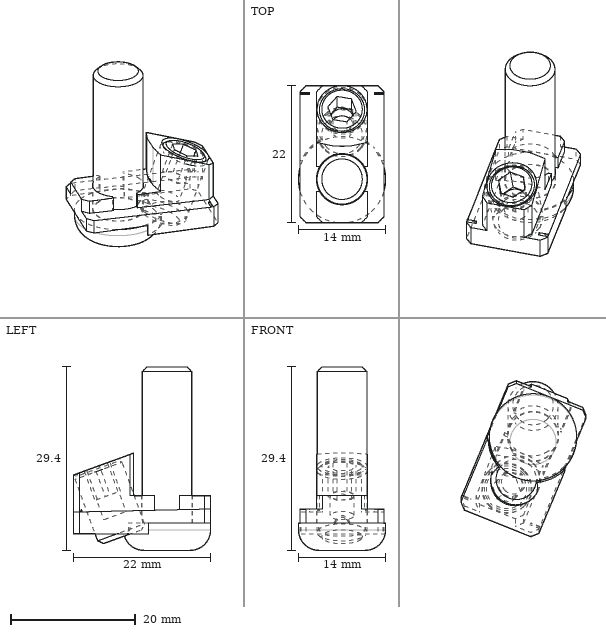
import cadquery as cq
import math


BOLT_DIAMETER = 8.0
BOLT_LENGTH = 25.0
TIP_CHAMFER = 0.75
HEAD_DIAMETER = 14.0
HEAD_HEIGHT = 4.4
HEAD_RIM_HEIGHT = 1.1
HEAD_ROUND = HEAD_HEIGHT - HEAD_RIM_HEIGHT

BASE_WIDTH = 13.5
FRONT_Y = -HEAD_DIAMETER / 2
BLOCK_LENGTH = 22.0
BACK_Y = FRONT_Y + BLOCK_LENGTH
BOTTOM_Z = -1.75
LEDGE_FRONT_Z = 2.25
LEDGE_BACK_Z = 1.75
CORNER_CHAMFER = 1.0
STEP_Y = 3.0
HEAD_CLEARANCE = 0.2
HEAD_RECESS_RADIUS = HEAD_DIAMETER / 2 + HEAD_CLEARANCE

RIB_WIDTH = 8.2
RIB_TOP_Z = 4.4
RIB_GAP_LENGTH = 4.0
BOLT_HOLE_DIAMETER = 8.2
TOWER_FRONT_Y = 5.35
TOWER_SIDE_Y = 5.9
TOWER_FLAT_WIDTH = 3.1
TOWER_BACK_Z = 7.7
TILT = 20.0

RIDGE_LENGTH = 1.55
RIDGE_Y = 13.72
RIDGE_WIDTH = 0.33
RIDGE_HEIGHT = 0.38

SCREW_DIAMETER = 8.0
SCREW_LENGTH = 12.0
SCREW_CHAMFER = 0.75
SCREW_END_DIAMETER = SCREW_DIAMETER - 2 * SCREW_CHAMFER
SCREW_Y = 11.22
COUNTERSINK_TAPER = 45.0
SOCKET_ACROSS_FLATS = 4.0
SOCKET_DEPTH = 5.0
SOCKET_TURN = -10.0
PILOT_DIAMETER = 3.8
PILOT_DEPTH = 8.4


def tower_top_z(y):
    """Height of the sloping tower top at a given Y."""
    return TOWER_BACK_Z + (BACK_Y - y) * math.tan(math.radians(TILT))


def ledge_z(y):
    """Height of the slightly falling ledge at a given Y."""
    return LEDGE_FRONT_Z + (LEDGE_BACK_Z - LEDGE_FRONT_Z) * (y - FRONT_Y) / BLOCK_LENGTH


def screw_plane():
    """Plane of the screw's top face, with its normal pointing up the tilted axis."""
    tilt = math.radians(TILT)
    return cq.Plane(
        origin=(0, SCREW_Y, tower_top_z(SCREW_Y)),
        xDir=(1, 0, 0),
        normal=(0, math.sin(tilt), math.cos(tilt)),
    )


def side_extrusion(outline, x_start, x_length):
    """Extrude a (Y, Z) outline along +X."""
    return cq.Workplane("YZ", origin=(x_start, 0, 0)).polyline(outline).close().extrude(x_length)


def screw_envelope():
    """Outer shape of the screw, chamfered at both ends."""
    cylinder = cq.Workplane(screw_plane()).circle(SCREW_DIAMETER / 2).extrude(-SCREW_LENGTH)
    return cylinder.edges("%CIRCLE").chamfer(SCREW_CHAMFER)


def make_set_screw():
    socket_diameter = SOCKET_ACROSS_FLATS / math.cos(math.pi / 6)
    socket = (
        cq.Workplane(screw_plane())
        .transformed(rotate=(0, 0, SOCKET_TURN))
        .polygon(6, socket_diameter)
        .extrude(-SOCKET_DEPTH)
    )
    pilot = cq.Workplane(screw_plane()).circle(PILOT_DIAMETER / 2).extrude(-PILOT_DEPTH)
    return screw_envelope().cut(socket).cut(pilot)


def make_bolt():
    head = (
        cq.Workplane("XY")
        .circle(HEAD_DIAMETER / 2)
        .extrude(-HEAD_HEIGHT)
        .faces("<Z")
        .edges()
        .fillet(HEAD_ROUND)
    )
    shank = (
        cq.Workplane("XY")
        .circle(BOLT_DIAMETER / 2)
        .extrude(BOLT_LENGTH)
        .faces(">Z")
        .chamfer(TIP_CHAMFER)
    )
    return head.union(shank).cut(screw_envelope())


def make_base():
    outline = [
        (FRONT_Y, BOTTOM_Z),
        (BACK_Y, BOTTOM_Z),
        (BACK_Y, LEDGE_BACK_Z),
        (FRONT_Y, LEDGE_FRONT_Z),
    ]
    base = side_extrusion(outline, -BASE_WIDTH / 2, BASE_WIDTH)
    return base.edges("|Z").chamfer(CORNER_CHAMFER)


def make_rib():
    rib_middle_y = (FRONT_Y + BACK_Y) / 2
    rib = (
        cq.Workplane("XY", origin=(0, rib_middle_y, BOTTOM_Z))
        .rect(RIB_WIDTH, BLOCK_LENGTH)
        .extrude(tower_top_z(FRONT_Y) - BOTTOM_Z)
        .edges("|Z")
        .chamfer(CORNER_CHAMFER)
    )
    above_tower = (
        cq.Workplane(screw_plane())
        .rect(3 * BLOCK_LENGTH, 3 * BLOCK_LENGTH)
        .extrude(BLOCK_LENGTH)
    )
    in_front_of_tower = (
        cq.Workplane("XY", origin=(0, 0, RIB_TOP_Z))
        .moveTo(-RIB_WIDTH / 2, FRONT_Y)
        .lineTo(-RIB_WIDTH / 2, TOWER_SIDE_Y)
        .lineTo(-TOWER_FLAT_WIDTH / 2, TOWER_FRONT_Y)
        .lineTo(TOWER_FLAT_WIDTH / 2, TOWER_FRONT_Y)
        .lineTo(RIB_WIDTH / 2, TOWER_SIDE_Y)
        .lineTo(RIB_WIDTH / 2, FRONT_Y)
        .close()
        .extrude(BLOCK_LENGTH)
    )
    half_gap = RIB_GAP_LENGTH / 2
    gap_outline = [
        (-half_gap, ledge_z(-half_gap)),
        (half_gap, ledge_z(half_gap)),
        (half_gap, RIB_TOP_Z),
        (-half_gap, RIB_TOP_Z),
    ]
    gap = side_extrusion(gap_outline, -RIB_WIDTH / 2, RIB_WIDTH)
    return rib.cut(above_tower).cut(in_front_of_tower).cut(gap)


def make_ridge(x_start):
    half_width = RIDGE_WIDTH / 2
    outline = [
        (RIDGE_Y - half_width, BOTTOM_Z),
        (RIDGE_Y + half_width, BOTTOM_Z),
        (RIDGE_Y + half_width, ledge_z(RIDGE_Y + half_width)),
        (RIDGE_Y, ledge_z(RIDGE_Y) + RIDGE_HEIGHT),
        (RIDGE_Y - half_width, ledge_z(RIDGE_Y - half_width)),
    ]
    return side_extrusion(outline, x_start, RIDGE_LENGTH)


def make_head_recess():
    """Step across the front of the underside, with a round pocket for the bolt head."""
    step_outline = [(FRONT_Y, BOTTOM_Z), (STEP_Y, BOTTOM_Z), (STEP_Y, 0), (FRONT_Y, 0)]
    step = side_extrusion(step_outline, -BASE_WIDTH / 2, BASE_WIDTH)
    pocket = cq.Workplane("XY").circle(HEAD_RECESS_RADIUS).extrude(BOTTOM_Z)
    return step.union(pocket)


def make_screw_hole():
    """Hole along the tilted axis, countersunk at the top and fitted around the screw."""
    bore = cq.Workplane(screw_plane()).circle(SCREW_END_DIAMETER / 2).extrude(-2 * SCREW_LENGTH)
    countersink = (
        cq.Workplane(screw_plane())
        .circle(SCREW_DIAMETER / 2)
        .extrude(-SCREW_CHAMFER, taper=COUNTERSINK_TAPER)
    )
    return bore.union(countersink).union(screw_envelope())


def make_block():
    block = make_base().union(make_rib())
    for x_start in (-BASE_WIDTH / 2, BASE_WIDTH / 2 - RIDGE_LENGTH):
        block = block.union(make_ridge(x_start))

    bolt_hole = (
        cq.Workplane("XY", origin=(0, 0, BOTTOM_Z))
        .circle(BOLT_HOLE_DIAMETER / 2)
        .extrude(RIB_TOP_Z - BOTTOM_Z)
    )
    return block.cut(make_head_recess()).cut(bolt_hole).cut(make_screw_hole())


block = make_block()
bolt = make_bolt()
set_screw = make_set_screw()

result = cq.Compound.makeCompound([block.val(), bolt.val(), set_screw.val()])